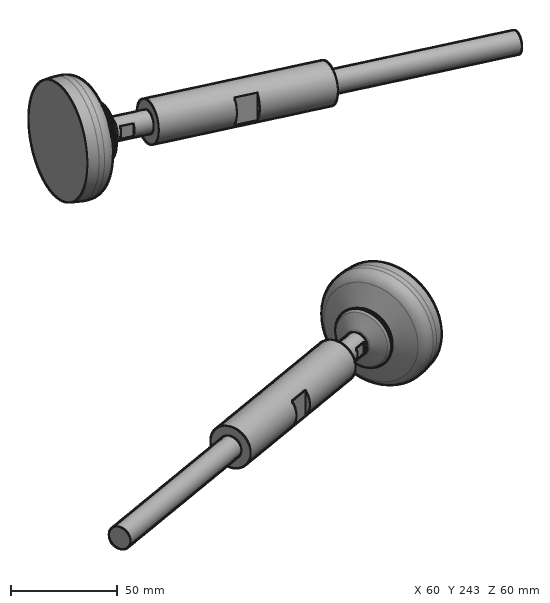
import cadquery as cq

total_length = 243.0

base_radius = 60.0 / 2
underside_radius = 29.5
taper_height = 5.8
wall_height = 8.7
shoulder_height = 15.5
shoulder_radius = 25.8
seat_height = 20.5
seat_radius = 14.8

rod_diameter = 12.0
rod_radius = rod_diameter / 2
rim_radius = 15.3
rim_chamfer = 1.2
rim_top = 23.8
bell_top = 27.7
neck_fillet = 0.7
rod_flat_start = 30.4
rod_flat_length = 7.0
rod_across_flats = 10.0

sleeve_diameter = 22.0
sleeve_start = 47.6
sleeve_length = 95.0
sleeve_flat_length = 12.2
sleeve_across_flats = 17.0
sleeve_flat_start = sleeve_start + (sleeve_length - sleeve_flat_length) / 2


def revolve_about_y(profile):
    """Turn a closed radius-versus-Y profile about the Y axis."""
    return profile.close().revolve(360, (0, 0, 0), (0, 1, 0))


def cylinder_along_y(diameter, start, length):
    """Solid cylinder on the Y axis, running toward +Y from start."""
    return cq.Workplane("XZ", origin=(0, start, 0)).circle(diameter / 2).extrude(-length)


def cut_wrench_flats(body, diameter, across_flats, start, length):
    """Cut a pair of opposed flats, facing -X and +X, into a round body."""
    offset = (across_flats + diameter) / 2
    for side in (-1, 1):
        cutter = cq.Workplane("XY").box(diameter, length, 2 * diameter)
        body = body.cut(cutter.translate((side * offset, start + length / 2, 0)))
    return body


def make_base():
    """Round base plate with a tapered wall, rounded shoulder and conical top."""
    profile = (
        cq.Workplane("XY")
        .lineTo(underside_radius, 0)
        .lineTo(base_radius, taper_height)
        .lineTo(base_radius, wall_height)
        .tangentArcPoint((shoulder_radius, shoulder_height), relative=False)
        .lineTo(seat_radius, seat_height)
        .lineTo(0, seat_height)
    )
    return revolve_about_y(profile)


def make_bell():
    """Conical bell with a chamfered rim, blending into the rod."""
    profile = (
        cq.Workplane("XY")
        .moveTo(0, seat_height)
        .lineTo(rim_radius - rim_chamfer, seat_height)
        .lineTo(rim_radius, seat_height + rim_chamfer)
        .lineTo(rim_radius, rim_top - rim_chamfer)
        .lineTo(rim_radius - rim_chamfer, rim_top)
        .lineTo(rod_radius + neck_fillet, bell_top)
        .tangentArcPoint((rod_radius, bell_top + neck_fillet), relative=False)
        .lineTo(0, bell_top + neck_fillet)
    )
    return revolve_about_y(profile)


def make_spindle():
    """Bell, rod and sleeve in one piece, with two pairs of wrench flats."""
    rod = cylinder_along_y(rod_diameter, seat_height, total_length - seat_height)
    rod = cut_wrench_flats(rod, rod_diameter, rod_across_flats, rod_flat_start, rod_flat_length)
    sleeve = cylinder_along_y(sleeve_diameter, sleeve_start, sleeve_length)
    sleeve = cut_wrench_flats(
        sleeve, sleeve_diameter, sleeve_across_flats, sleeve_flat_start, sleeve_flat_length
    )
    return rod.union(sleeve).union(make_bell())


base = make_base()
spindle = make_spindle()
result = cq.Compound.makeCompound([base.val(), *spindle.solids().vals()])